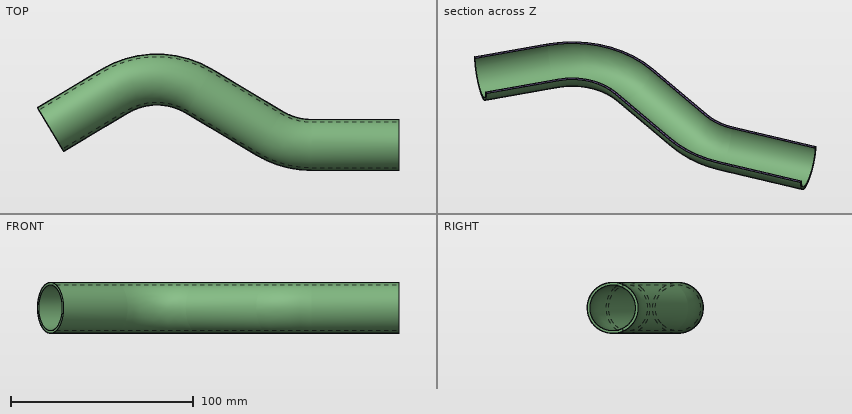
import cadquery as cq
import math

OUTER_DIAMETER = 28.0
INNER_DIAMETER = 25.0

BEND_RADIUS = 45.0
SLOPE_ANGLE = 30.87
START_LENGTH = 41.0
MIDDLE_LENGTH = 45.0
END_LENGTH = 47.85


def step(point, length, heading):
    """Point reached by going `length` along `heading` (degrees from +X)."""
    angle = math.radians(heading)
    return (point[0] + length * math.cos(angle), point[1] + length * math.sin(angle))


def add_bend(path, start, start_heading, end_heading):
    """Add a tangent arc to the path and return the path and the arc's end."""
    turn_side = math.copysign(90.0, end_heading - start_heading)
    center = step(start, BEND_RADIUS, start_heading + turn_side)
    mid_heading = (start_heading + end_heading) / 2
    middle = step(center, BEND_RADIUS, mid_heading - turn_side)
    end = step(center, BEND_RADIUS, end_heading - turn_side)
    return path.threePointArc(middle, end), end


def make_centreline():
    """Rising run, crest bend, falling run, levelling bend, run along X."""
    start = (0.0, 0.0)
    rise_end = step(start, START_LENGTH, SLOPE_ANGLE)
    path = cq.Workplane("XY").moveTo(*start).lineTo(*rise_end)
    path, crest_end = add_bend(path, rise_end, SLOPE_ANGLE, -SLOPE_ANGLE)
    fall_end = step(crest_end, MIDDLE_LENGTH, -SLOPE_ANGLE)
    path = path.lineTo(*fall_end)
    path, level_start = add_bend(path, fall_end, -SLOPE_ANGLE, 0.0)
    return path.lineTo(*step(level_start, END_LENGTH, 0.0))


def make_tube(centreline):
    """Sweep the ring section, square to the first run, along the centreline."""
    angle = math.radians(SLOPE_ANGLE)
    section_plane = cq.Plane(
        origin=(0, 0, 0),
        xDir=(0, 0, 1),
        normal=(math.cos(angle), math.sin(angle), 0),
    )
    section = cq.Workplane(section_plane).circle(OUTER_DIAMETER / 2).circle(INNER_DIAMETER / 2)
    return section.sweep(centreline)


result = make_tube(make_centreline())